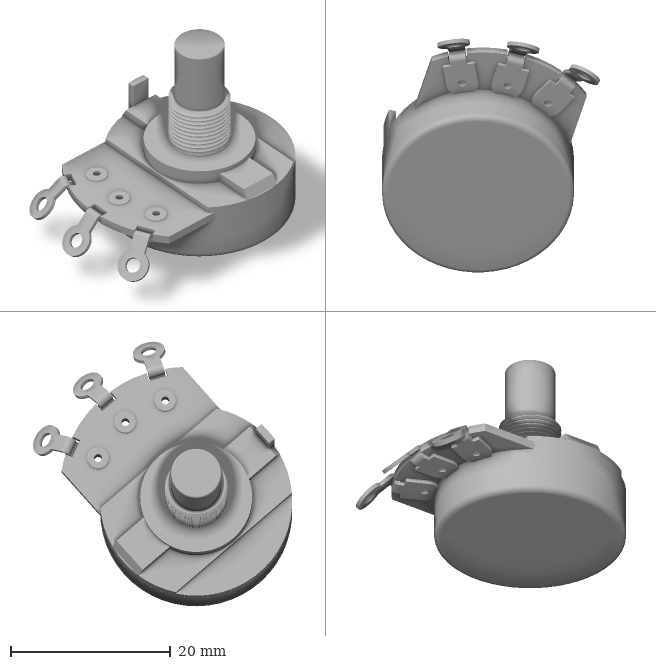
import cadquery as cq
import math


can_top = 6.0
board_top = 7.1
plate_top = 7.95
rib_top = 9.25
collar_top = 9.9
tab_top = 12.5
bushing_top = 16.4
shaft_top = 24.6

body_radius = 12.0
can_edge_radius = 0.72

board_half_width = 10.05
board_corner_y = -14.05
board_end_y = -17.72
notch_width = 2.4
notch_start = 16.45

plate_width = 14.3
rib_width = 4.95
rib_half_length_top = 11.05
rib_half_length_base = 11.8
collar_radius = 7.0
tab_width = 2.55
tab_thickness = 1.0
tab_edge_chamfer = 0.1
bushing_radius = 3.9
thread_pitch = 0.6
thread_depth = 0.4
thread_groove_width = 0.5
thread_overrun = 1.5 * thread_pitch
groove_outside = 0.05
thread_runout_turn = -60.0
shaft_radius = 3.15
shaft_edge_radius = 0.2

terminal_spacing_angle = 24.5
terminal_angles = [-terminal_spacing_angle, 0, terminal_spacing_angle]
sheet = 0.5
pad_bottom = can_top - sheet
pad_width = 4.0
pad_length = 2.75
strip_width = 2.05
riser_distance = 16.98
bend_inner_radius = 0.15
bend_outer_radius = bend_inner_radius + sheet
bend_center_z = 6.46
lug_slope = 46.0
lug_tip_distance = 22.13
eye_radius = 2.03
eye_hole_radius = 0.95

rivet_distance = 13.45
rivet_head_radius = 1.42
rivet_head_height = 0.22
rivet_head_edge = 0.2
rivet_shank_radius = 0.9
rivet_hole_radius = 0.5


def slab(bottom, top):
    """Disc with the outer radius of the part."""
    return cq.Workplane("XY").workplane(offset=bottom).circle(body_radius).extrude(top - bottom)


def at_terminal(shape, angle):
    """Turn a shape from the -Y direction to a terminal direction."""
    return shape.rotate((0, 0, 0), (0, 0, 1), angle)


def make_pad():
    """Flat foot of a terminal: straight sides and a round end about the rivet."""
    half = pad_width / 2
    front_y = -rivet_distance - pad_length
    return (
        cq.Workplane("XY").workplane(offset=pad_bottom)
        .moveTo(-half, front_y)
        .lineTo(half, front_y)
        .lineTo(half, -rivet_distance)
        .threePointArc((0, half - rivet_distance), (-half, -rivet_distance))
        .close().extrude(sheet)
    )


def arc_point(center, radius, angle):
    return (center[0] + radius * math.cos(angle), center[1] + radius * math.sin(angle))


def make_lug():
    """Strip that bends up through the notch and over, and the sloping eye at its end."""
    slope = math.radians(lug_slope)
    along = (-math.cos(slope), -math.sin(slope))
    normal = (-math.sin(slope), math.cos(slope))
    foot_y = -rivet_distance - pad_length

    lower_center = (bend_inner_radius - riser_distance, can_top + bend_inner_radius)
    lower_middle = math.radians(225)
    upper_center = (-riser_distance - bend_outer_radius, bend_center_z)
    upper_end = math.radians(90) + slope
    upper_middle = upper_end / 2
    top_end = arc_point(upper_center, bend_outer_radius, upper_end)
    under_end = arc_point(upper_center, bend_inner_radius, upper_end)

    eye_run = lug_tip_distance + top_end[0]
    eye_length = eye_run / math.cos(slope) - eye_radius
    eye_top = (top_end[0] + along[0] * eye_length, top_end[1] + along[1] * eye_length)
    eye_bottom = (under_end[0] + along[0] * eye_length, under_end[1] + along[1] * eye_length)

    strip = (
        cq.Workplane("YZ")
        .moveTo(foot_y, can_top)
        .lineTo(lower_center[0], can_top)
        .threePointArc(
            arc_point(lower_center, bend_inner_radius, lower_middle),
            (-riser_distance, lower_center[1]),
        )
        .lineTo(-riser_distance, bend_center_z)
        .threePointArc(arc_point(upper_center, bend_outer_radius, upper_middle), top_end)
        .lineTo(*eye_top)
        .lineTo(*eye_bottom)
        .lineTo(*under_end)
        .threePointArc(
            arc_point(upper_center, bend_inner_radius, upper_middle),
            (-riser_distance - sheet, bend_center_z),
        )
        .lineTo(-riser_distance - sheet, lower_center[1])
        .threePointArc(
            arc_point(lower_center, bend_outer_radius, lower_middle),
            (lower_center[0], pad_bottom),
        )
        .lineTo(foot_y, pad_bottom)
        .close().extrude(strip_width / 2, both=True)
    )
    eye_plane = cq.Plane(
        origin=(0, *eye_bottom),
        xDir=(1, 0, 0),
        normal=(0, *normal),
    )
    eye = cq.Workplane(eye_plane).circle(eye_radius).extrude(sheet)
    eye_hole = cq.Workplane(eye_plane).circle(eye_hole_radius).extrude(sheet)
    return strip.union(eye).cut(eye_hole)


def make_terminal(angle):
    rivet_hole = (
        cq.Workplane("XY").workplane(offset=pad_bottom)
        .center(0, -rivet_distance).circle(rivet_shank_radius).extrude(sheet)
    )
    return at_terminal(make_pad().union(make_lug()).cut(rivet_hole), angle)


def make_rivet(angle):
    """Hollow rivet with its head on the board and its shank through board and terminal."""
    head = (
        cq.Workplane("XY").workplane(offset=board_top).center(0, -rivet_distance)
        .circle(rivet_head_radius).extrude(rivet_head_height)
        .faces(">Z").edges().fillet(rivet_head_edge)
    )
    shank = (
        cq.Workplane("XY").workplane(offset=pad_bottom).center(0, -rivet_distance)
        .circle(rivet_shank_radius).extrude(board_top - pad_bottom)
    )
    rivet = head.union(shank).faces(">Z").workplane().hole(2 * rivet_hole_radius)
    return at_terminal(rivet, angle)


def make_can():
    can = slab(0, can_top).faces("<Z").edges().fillet(can_edge_radius)
    for angle in terminal_angles:
        can = can.cut(at_terminal(make_pad(), angle))
    return can


def make_board():
    """Round board with an apron toward -Y that carries the terminals."""
    thickness = board_top - can_top
    apron = (
        cq.Workplane("XY").workplane(offset=can_top)
        .moveTo(-board_half_width, 0)
        .lineTo(-board_half_width, board_corner_y)
        .threePointArc((0, board_end_y), (board_half_width, board_corner_y))
        .lineTo(board_half_width, 0)
        .close().extrude(thickness)
    )
    board = slab(can_top, board_top).union(apron)
    notch = (
        cq.Workplane("XY").workplane(offset=can_top)
        .center(0, -notch_start - notch_width / 2)
        .rect(notch_width, notch_width).extrude(thickness)
    )
    rivet_hole = (
        cq.Workplane("XY").workplane(offset=can_top)
        .center(0, -rivet_distance).circle(rivet_shank_radius).extrude(thickness)
    )
    for angle in terminal_angles:
        board = board.cut(at_terminal(notch, angle)).cut(at_terminal(rivet_hole, angle))
    return board


def make_threaded_bushing():
    """Cylinder with a right-hand helical V groove that runs out at both ends."""
    height = bushing_top - collar_top
    bushing = cq.Workplane("XY").circle(bushing_radius).extrude(height)
    half_mouth = thread_groove_width / 2 * (1 + groove_outside / thread_depth)
    path = cq.Wire.makeHelix(thread_pitch, height + 2 * thread_overrun, bushing_radius)
    groove = (
        cq.Workplane("XZ")
        .moveTo(bushing_radius - thread_depth, 0)
        .lineTo(bushing_radius + groove_outside, half_mouth)
        .lineTo(bushing_radius + groove_outside, -half_mouth)
        .close().sweep(cq.Workplane(path), isFrenet=True)
        .translate((0, 0, -thread_overrun))
    )
    threaded = bushing.cut(groove).rotate((0, 0, 0), (0, 0, 1), thread_runout_turn)
    return threaded.translate((0, 0, collar_top))


def make_cover():
    """Clamping plate with rib, locating tab, collar, threaded bushing and shaft."""
    plate = slab(board_top, plate_top).intersect(
        cq.Workplane("XY").box(2 * body_radius, plate_width, 2 * plate_top)
    )
    rib = (
        cq.Workplane("XZ")
        .moveTo(-rib_half_length_base, plate_top)
        .lineTo(-rib_half_length_top, rib_top)
        .lineTo(rib_half_length_top, rib_top)
        .lineTo(rib_half_length_base, plate_top)
        .close().extrude(rib_width / 2, both=True)
        .intersect(slab(plate_top, rib_top))
    )
    tab = (
        cq.Workplane("XY").workplane(offset=plate_top)
        .center(tab_thickness / 2 - body_radius, 0)
        .rect(tab_thickness, tab_width).extrude(tab_top - plate_top)
        .intersect(slab(plate_top, tab_top))
        .faces(">Z").edges().chamfer(tab_edge_chamfer)
    )
    collar = (
        cq.Workplane("XY").workplane(offset=plate_top)
        .circle(collar_radius).extrude(collar_top - plate_top)
    )
    shaft = (
        cq.Workplane("XY").workplane(offset=bushing_top)
        .circle(shaft_radius).extrude(shaft_top - bushing_top)
        .faces(">Z").edges().fillet(shaft_edge_radius)
    )
    return plate.union(rib).union(tab).union(collar).union(make_threaded_bushing()).union(shaft)


can = make_can()
board = make_board()
cover = make_cover()
terminals = [make_terminal(angle) for angle in terminal_angles]
rivets = [make_rivet(angle) for angle in terminal_angles]

result = cq.Compound.makeCompound(
    [can.val(), board.val(), cover.val()]
    + [terminal.val() for terminal in terminals]
    + [rivet.val() for rivet in rivets]
)